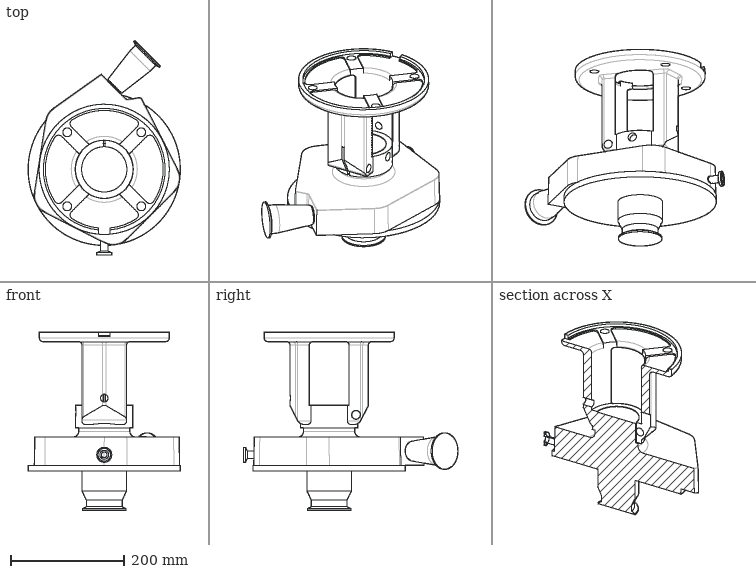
import cadquery as cq
import math

INLET_FERRULE_TOP_Z = 2.8
INLET_NECK_START_Z = 6.3
INLET_CONE_START_Z = 17.9
INLET_CONE_END_Z = 33.9
BACK_PLATE_Z = 69.0
HOUSING_Z = 79.5
HOUSING_TOP_Z = 129.5
NECK_FILLET_TOP_Z = 139.5
HUB_Z = 145.7
ARM_BOTTOM_Z = 151.5
HUB_TOP_Z = 185.6
FLANGE_Z = 297.5
TOTAL_HEIGHT = 314.5

INLET_FERRULE_RADIUS = 38.6
INLET_NECK_RADIUS = 31.8
INLET_BODY_RADIUS = 39.5

BACK_PLATE_RADIUS = 134.55
HOUSING_APOTHEM = 115.5
HOUSING_SIDE_COUNT = 5
HOUSING_FIRST_SIDE_ANGLE = 27.0
HOUSING_CORNER_RADIUS = 35.0
HOUSING_NOSE_RADIUS = 5.0
HOUSING_NOTCH_RADIUS = 4.0
HOUSING_DRAFT = 1.0
HOUSING_TOP_FILLET = 0.5
OUTLET_ANGLE = 45.0
OUTLET_WALL_DISTANCE = 115.0
OUTLET_WALL_REACH = 122.4
APEX_SIDE_ANGLE = 215.4

OUTLET_AXIS_Z = (HOUSING_Z + HOUSING_TOP_Z) / 2
OUTLET_AXIS_OFFSET = 90.5
OUTLET_ROOT_RADIUS = 17.5
OUTLET_ROOT_CHAMFER = 2.0
OUTLET_END_RADIUS = 25.4
OUTLET_FERRULE_RADIUS = 32.2
OUTLET_FERRULE_THICKNESS = 2.8
OUTLET_FERRULE_CONE = 2.5
OUTLET_CONE_END = 180.0
OUTLET_END = 199.1
PIPE_EMBED = 20.0

DRAIN_AXIS_Z = 98.0
DRAIN_RADIUS = 6.7
DRAIN_BORE_RADIUS = 5.0
DRAIN_BORE_DEPTH = 25.0
DRAIN_FERRULE_RADIUS = 13.3
DRAIN_FERRULE_THICKNESS = 4.0
DRAIN_FERRULE_CONE = 2.7
DRAIN_END = 151.27
DRAIN_GROOVE_RADIUS = 9.5
DRAIN_GROOVE_HALF_WIDTH = 1.6
DRAIN_ROOT = 115.0

NECK_RADIUS = 45.4
NECK_FILLET_RADIUS = NECK_FILLET_TOP_Z - HOUSING_TOP_Z
HUB_RADIUS = 50.8
HUB_BORE_RADIUS = 40.0
HUB_BORE_DEPTH = 1.0
HUB_HOLE_DIAMETER = 15.0
HUB_HOLE_Z = 173.6
CLAMP_SLIT_WIDTH = 3.5
CLAMP_SLIT_TOP_Z = 210.0

ARM_HALF_WIDTH = 39.5
ARM_INNER_Y = 35.0
ARM_JOINT_Y = 32.0
ARM_SHOULDER_Y = 58.4
ARM_CREST_Y = 69.4
ARM_CREST_HALF_WIDTH = 3.25
ARM_EDGE_FILLET = 4.0
ARM_TOE_FILLET = 14.0
ARM_BOTTOM_FILLET = 6.0
ARM_ROOT_FILLET = 6.0
ARM_WEDGE_TOP_Z = 184.8
ARM_WEDGE_ANGLE = 27.0
CLAMP_HOLE_DIAMETER = 15.0
CLAMP_HOLE_Y = 47.5
CLAMP_HOLE_Z = 168.5
FRONT_HOLE_DIAMETER = 13.2
FRONT_HOLE_Z = 198.0

FLANGE_RADIUS = 115.0
FLANGE_EDGE_FILLET = 7.0
FLANGE_BORE_RADIUS = 51.3
SPIGOT_RADIUS = 107.5
PAD_DEPTH = 5.5
PAD_WIDTH = 24.0
POCKET_DEPTH = 8.0
POCKET_RADIUS = 104.0
POCKET_CORNER_RADIUS = 8.0
BORE_ROUNDING = 7.0
BOLT_CIRCLE_RADIUS = 92.4
BOLT_HOLE_DIAMETER = 15.6
BOLT_COUNT = 4
PAD_ANGLE = 45.0
KEY_NOTCH_WIDTH = 20.0
KEY_NOTCH_LENGTH = 15.0

PICK_MARGIN = 1.0


def cylinder(radius, bottom, top):
    return cq.Workplane("XY").workplane(offset=bottom).circle(radius).extrude(top - bottom)


def direction(angle):
    return math.cos(math.radians(angle)), math.sin(math.radians(angle))


def line_crossing(normal_a, distance_a, normal_b, distance_b):
    """Point shared by two lines given by their normal angles and distances from the axis."""
    ax, ay = direction(normal_a)
    bx, by = direction(normal_b)
    det = ax * by - ay * bx
    return (distance_a * by - distance_b * ay) / det, (ax * distance_b - bx * distance_a) / det


def inlet():
    """Back plate and the stepped inlet pipe, turned about the pump axis."""
    profile = [
        (0, 0),
        (INLET_FERRULE_RADIUS, 0),
        (INLET_FERRULE_RADIUS, INLET_FERRULE_TOP_Z),
        (INLET_NECK_RADIUS, INLET_NECK_START_Z),
        (INLET_NECK_RADIUS, INLET_CONE_START_Z),
        (INLET_BODY_RADIUS, INLET_CONE_END_Z),
        (INLET_BODY_RADIUS, BACK_PLATE_Z),
        (BACK_PLATE_RADIUS, BACK_PLATE_Z),
        (BACK_PLATE_RADIUS, HOUSING_Z),
        (0, HOUSING_Z),
    ]
    return cq.Workplane("XZ").polyline(profile).close().revolve(360, (0, 0), (0, 1))


def housing():
    side_turn = 360 / HOUSING_SIDE_COUNT
    normals = [HOUSING_FIRST_SIDE_ANGLE + side_turn * i for i in range(HOUSING_SIDE_COUNT)]
    right, upper, left, lower_left, lower_right = normals

    def pentagon_corner(normal_a, normal_b):
        return line_crossing(normal_a, HOUSING_APOTHEM, normal_b, HOUSING_APOTHEM)

    out_x, out_y = direction(OUTLET_ANGLE)
    apex = (
        OUTLET_WALL_DISTANCE * out_x - OUTLET_WALL_REACH * out_y,
        OUTLET_WALL_DISTANCE * out_y + OUTLET_WALL_REACH * out_x,
    )
    apex_normal = APEX_SIDE_ANGLE - 90
    normal_x, normal_y = direction(apex_normal)
    apex_side_distance = apex[0] * normal_x + apex[1] * normal_y

    shoulder = line_crossing(apex_normal, apex_side_distance, left, HOUSING_APOTHEM)
    notch = line_crossing(upper, HOUSING_APOTHEM, OUTLET_ANGLE, OUTLET_WALL_DISTANCE)
    nose = pentagon_corner(right, upper)
    rounded = [
        shoulder,
        pentagon_corner(left, lower_left),
        pentagon_corner(lower_left, lower_right),
        pentagon_corner(lower_right, right),
    ]

    sketch = cq.Sketch().polygon([apex] + rounded + [nose, notch, apex])

    def corner(point, radius):
        near = cq.selectors.BoxSelector(
            (point[0] - PICK_MARGIN, point[1] - PICK_MARGIN, -PICK_MARGIN),
            (point[0] + PICK_MARGIN, point[1] + PICK_MARGIN, PICK_MARGIN),
        )
        sketch.vertices(near).fillet(radius).reset()

    for point in rounded:
        corner(point, HOUSING_CORNER_RADIUS)
    corner(nose, HOUSING_NOSE_RADIUS)
    corner(notch, HOUSING_NOTCH_RADIUS)

    body = (
        cq.Workplane("XY").workplane(offset=HOUSING_Z)
        .placeSketch(sketch)
        .extrude(HOUSING_TOP_Z - HOUSING_Z, taper=HOUSING_DRAFT)
    )
    return body.faces(">Z").edges().fillet(HOUSING_TOP_FILLET)


def outlet():
    """Widening pipe with a ferrule; built along +X, then swung to the outlet direction."""
    ferrule_start = OUTLET_END - OUTLET_FERRULE_THICKNESS
    profile = [
        (OUTLET_WALL_DISTANCE - PIPE_EMBED, 0),
        (OUTLET_WALL_DISTANCE - PIPE_EMBED, OUTLET_ROOT_RADIUS - OUTLET_ROOT_CHAMFER),
        (OUTLET_WALL_DISTANCE, OUTLET_ROOT_RADIUS - OUTLET_ROOT_CHAMFER),
        (OUTLET_WALL_DISTANCE + OUTLET_ROOT_CHAMFER, OUTLET_ROOT_RADIUS),
        (OUTLET_CONE_END, OUTLET_END_RADIUS),
        (ferrule_start - OUTLET_FERRULE_CONE, OUTLET_END_RADIUS),
        (ferrule_start, OUTLET_FERRULE_RADIUS),
        (OUTLET_END, OUTLET_FERRULE_RADIUS),
        (OUTLET_END, 0),
    ]
    pipe = cq.Workplane("XY").polyline(profile).close().revolve(360, (0, 0), (1, 0))
    pipe = pipe.translate((0, OUTLET_AXIS_OFFSET, OUTLET_AXIS_Z))
    return pipe.rotate((0, 0, 0), (0, 0, 1), OUTLET_ANGLE)


def drain():
    ferrule_start = DRAIN_END - DRAIN_FERRULE_THICKNESS
    profile = [
        (DRAIN_BORE_RADIUS, -DRAIN_END),
        (DRAIN_FERRULE_RADIUS, -DRAIN_END),
        (DRAIN_FERRULE_RADIUS, -ferrule_start),
        (DRAIN_RADIUS, -ferrule_start + DRAIN_FERRULE_CONE),
        (DRAIN_RADIUS, -DRAIN_ROOT),
        (0, -DRAIN_ROOT),
        (0, -DRAIN_END + DRAIN_BORE_DEPTH),
        (DRAIN_BORE_RADIUS, -DRAIN_END + DRAIN_BORE_DEPTH),
    ]
    stub = cq.Workplane("XY").polyline(profile).close().revolve(360, (0, 0), (0, 1))
    groove = (
        cq.Workplane("XY").center(DRAIN_GROOVE_RADIUS, -DRAIN_END)
        .circle(DRAIN_GROOVE_HALF_WIDTH)
        .revolve(360, (-DRAIN_GROOVE_RADIUS, 0), (-DRAIN_GROOVE_RADIUS, 1))
    )
    return stub.cut(groove).translate((0, 0, DRAIN_AXIS_Z))


def neck():
    """Shaft neck that flares into the housing top, up to the face inside the hub."""
    face_z = HUB_TOP_Z - HUB_BORE_DEPTH
    flare_radius = NECK_RADIUS + NECK_FILLET_RADIUS
    flare_bend = NECK_FILLET_RADIUS * (1 - math.sqrt(0.5))
    profile = (
        cq.Workplane("XZ")
        .moveTo(0, HOUSING_Z)
        .lineTo(flare_radius, HOUSING_Z)
        .lineTo(flare_radius, HOUSING_TOP_Z)
        .threePointArc(
            (NECK_RADIUS + flare_bend, HOUSING_TOP_Z + flare_bend),
            (NECK_RADIUS, NECK_FILLET_TOP_Z),
        )
        .lineTo(NECK_RADIUS, HUB_Z)
        .lineTo(HUB_BORE_RADIUS, HUB_Z)
        .lineTo(HUB_BORE_RADIUS, face_z)
        .lineTo(0, face_z)
        .close()
    )
    return profile.revolve(360, (0, 0), (0, 1))


def arm():
    """The +Y arm: a bar with a ridged outer side and a wedge-cut lower end."""
    outline = [
        (-ARM_HALF_WIDTH, ARM_JOINT_Y),
        (ARM_HALF_WIDTH, ARM_JOINT_Y),
        (ARM_HALF_WIDTH, ARM_SHOULDER_Y),
        (ARM_CREST_HALF_WIDTH, ARM_CREST_Y),
        (-ARM_CREST_HALF_WIDTH, ARM_CREST_Y),
        (-ARM_HALF_WIDTH, ARM_SHOULDER_Y),
    ]
    bar = (
        cq.Workplane("XY").workplane(offset=ARM_BOTTOM_Z)
        .polyline(outline).close().extrude(FLANGE_Z - ARM_BOTTOM_Z)
    )
    setback = cq.Workplane("XY").box(
        2 * ARM_HALF_WIDTH, ARM_INNER_Y, FLANGE_Z - HUB_TOP_Z, centered=(True, False, False)
    )
    bar = bar.cut(setback.translate((0, 0, HUB_TOP_Z)))
    bar = bar.edges("(>X or <X) and |Z").edges(">Y").fillet(ARM_EDGE_FILLET)

    drop = ARM_WEDGE_TOP_Z - ARM_BOTTOM_Z
    toe_y = ARM_CREST_Y - drop * math.tan(math.radians(ARM_WEDGE_ANGLE))
    wedge = (
        cq.Workplane("YZ")
        .moveTo(ARM_CREST_Y, ARM_WEDGE_TOP_Z)
        .lineTo(toe_y, ARM_BOTTOM_Z)
        .lineTo(ARM_CREST_Y, ARM_BOTTOM_Z)
        .close().extrude(ARM_HALF_WIDTH, both=True)
    )
    bar = bar.cut(wedge)
    bar = bar.faces("<Z").edges(">Y").fillet(ARM_TOE_FILLET)

    envelope = cq.Workplane("XY").box(
        2 * ARM_HALF_WIDTH, 2 * ARM_CREST_Y, FLANGE_Z - ARM_BOTTOM_Z, centered=(True, True, False)
    )
    envelope = envelope.faces("<Z").edges("|Y").fillet(ARM_BOTTOM_FILLET)
    return bar.intersect(envelope.translate((0, 0, ARM_BOTTOM_Z)))


def flange_pockets():
    """Cutter for the four pockets between the bolt pads and the rounded bore mouth."""
    floor_z = TOTAL_HEIGHT - POCKET_DEPTH
    mouth_radius = FLANGE_BORE_RADIUS + BORE_ROUNDING
    bend = BORE_ROUNDING * (1 - math.sqrt(0.5))
    mouth = (
        cq.Workplane("XZ")
        .moveTo(FLANGE_BORE_RADIUS, floor_z - BORE_ROUNDING)
        .threePointArc((FLANGE_BORE_RADIUS + bend, floor_z - bend), (mouth_radius, floor_z))
        .lineTo(FLANGE_BORE_RADIUS, floor_z)
        .close()
        .revolve(360, (0, 0), (0, 1))
    )
    pockets = cylinder(POCKET_RADIUS, floor_z, TOTAL_HEIGHT)
    for angle in (PAD_ANGLE, PAD_ANGLE + 90):
        pad = cq.Workplane("XY").box(2 * FLANGE_RADIUS, PAD_WIDTH, 2 * TOTAL_HEIGHT)
        pad = pad.rotate((0, 0, 0), (0, 0, 1), angle)
        pockets = pockets.cut(pad)
        mouth = mouth.cut(pad)

    inner = cq.selectors.BoxSelector(
        (-PAD_WIDTH, -PAD_WIDTH, floor_z), (PAD_WIDTH, PAD_WIDTH, TOTAL_HEIGHT)
    )
    outer_edges = cq.selectors.SubtractSelector(cq.selectors.StringSyntaxSelector("|Z"), inner)
    pockets = pockets.edges(outer_edges).fillet(POCKET_CORNER_RADIUS)
    return pockets.union(mouth)


def bracket():
    """Mounting flange with its two arms, bored out and seated on the hub."""
    plate = cylinder(FLANGE_RADIUS, FLANGE_Z, TOTAL_HEIGHT)
    plate = plate.faces("<Z").edges().fillet(FLANGE_EDGE_FILLET)

    front_arm = arm().mirror("XZ")
    body = plate.union(arm()).union(front_arm)
    arm_roots = cq.selectors.BoxSelector(
        (-ARM_HALF_WIDTH - PICK_MARGIN, -ARM_CREST_Y - PICK_MARGIN, FLANGE_Z - PICK_MARGIN),
        (ARM_HALF_WIDTH + PICK_MARGIN, ARM_CREST_Y + PICK_MARGIN, FLANGE_Z + PICK_MARGIN),
    )
    body = body.edges(arm_roots).fillet(ARM_ROOT_FILLET)
    body = body.cut(cylinder(FLANGE_BORE_RADIUS, HUB_TOP_Z, TOTAL_HEIGHT))
    body = body.cut(cylinder(HUB_RADIUS, HUB_Z, HUB_TOP_Z))

    body = body.cut(cylinder(SPIGOT_RADIUS, TOTAL_HEIGHT - PAD_DEPTH, TOTAL_HEIGHT))
    body = body.cut(flange_pockets())
    bolt_holes = (
        cq.Workplane("XY").workplane(offset=FLANGE_Z)
        .polarArray(BOLT_CIRCLE_RADIUS, PAD_ANGLE, 360, BOLT_COUNT)
        .circle(BOLT_HOLE_DIAMETER / 2).extrude(TOTAL_HEIGHT - FLANGE_Z)
    )
    body = body.cut(bolt_holes)

    key_notch = cq.Workplane("XY").box(
        KEY_NOTCH_WIDTH, KEY_NOTCH_LENGTH, POCKET_DEPTH, centered=(True, False, False)
    )
    body = body.cut(key_notch.translate((0, -FLANGE_RADIUS, TOTAL_HEIGHT - POCKET_DEPTH)))

    front_hole = (
        cq.Workplane("XZ").center(0, FRONT_HOLE_Z)
        .circle(FRONT_HOLE_DIAMETER / 2).extrude(ARM_CREST_Y)
    )
    return body.cut(front_hole)


def clamp():
    """Bracket joined to the hub ring, split by the slit through the +Y arm."""
    hub = cylinder(HUB_RADIUS, HUB_Z, HUB_TOP_Z).cut(cylinder(HUB_BORE_RADIUS, HUB_Z, HUB_TOP_Z))
    side_hole = (
        cq.Workplane("YZ").center(0, HUB_HOLE_Z)
        .circle(HUB_HOLE_DIAMETER / 2).extrude(-HUB_RADIUS)
    )
    clamp_hole = (
        cq.Workplane("YZ").center(CLAMP_HOLE_Y, CLAMP_HOLE_Z)
        .circle(CLAMP_HOLE_DIAMETER / 2).extrude(ARM_HALF_WIDTH, both=True)
    )
    slit = cq.Workplane("XY").box(
        CLAMP_SLIT_WIDTH, ARM_CREST_Y, CLAMP_SLIT_TOP_Z - HUB_Z, centered=(True, False, False)
    )
    body = bracket().union(hub.cut(side_hole))
    return body.cut(clamp_hole).cut(slit.translate((0, 0, HUB_Z)))


result = (
    inlet()
    .union(housing())
    .union(outlet())
    .union(drain())
    .union(neck())
    .union(clamp())
)